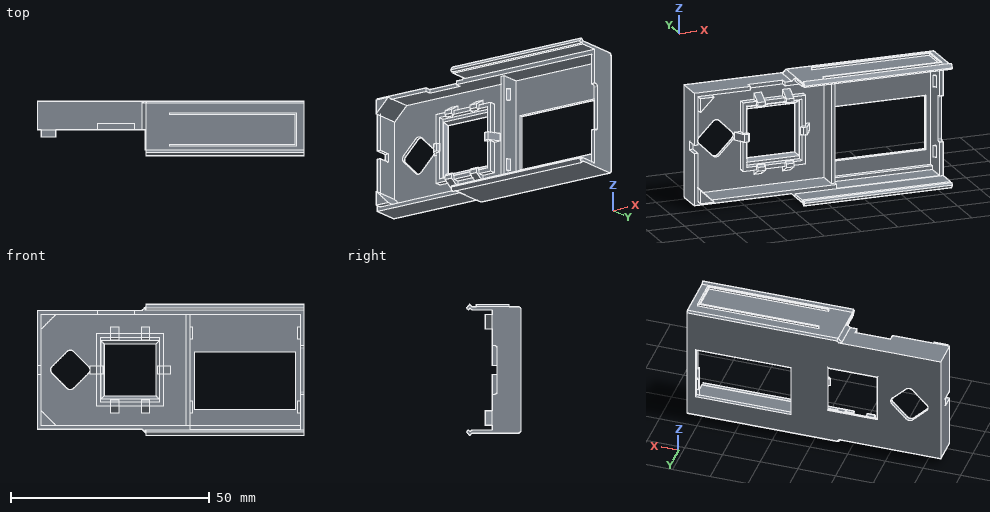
import cadquery as cq


LENGTH = 67.4
BODY_HALF = 15.0
WALL = 1.0
INNER_HALF = BODY_HALF - WALL
PLATE = 1.0
BODY_DEPTH = 7.3
INNER_END = LENGTH - WALL

DIVIDER_X = 37.55
DIVIDER_DEPTH = 6.1
COMPARTMENT_X = DIVIDER_X + WALL
LEDGE_DEPTH = 2.2

FLANGE_HALF = 16.0
FLANGE_X = 27.4
FLANGE_RUN = FLANGE_HALF - BODY_HALF
FLANGE_CHAMFER = 0.5
RAIL_HALF = 15.12
RAIL_X = 27.2
BEAD_HALF = 16.6
TOTAL_DEPTH = 13.82
BEAD_START = 12.4
BEAD_PEAK = BEAD_START + BEAD_HALF - FLANGE_HALF
BEAD_TIP_HALF = 15.62
BEAD_TOE = TOTAL_DEPTH - (BEAD_TIP_HALF - RAIL_HALF)
BEAD_GROOVE = 0.45

WINDOW_X = (39.75, 65.15)
WINDOW_Z = (-9.95, 4.5)

DIAMOND_X = 8.35
DIAMOND_SIDE = 7.7
DIAMOND_RADIUS = 1.2

FRAME_X = 23.45
FRAME_RIM = 1.0
FRAME_SIZE = (16.9, 18.3)
FRAME_DEPTH = 2.7
CAVITY_SIZE = (FRAME_SIZE[0] - 2 * FRAME_RIM, FRAME_SIZE[1] - 2 * FRAME_RIM)
OPENING = 13.05
OPENING_BEVEL = 0.85

CLIP_WIDTH = 2.05
CLIP_DEPTH = 3.8
CLIP_FOOT = 1.7
CLIP_NOSE = (CLIP_DEPTH - FRAME_DEPTH) / 2
CLIP_SPACING = 7.75

POST_LEG = 3.7
POST_DEPTH = 9.1

LEFT_NOTCH_HEIGHT = 2.2
LEFT_NOTCH_FLOOR = 3.8
TOP_NOTCH_X = (15.2, 24.55)
TOP_NOTCH_FLOOR = 5.65
RIGHT_NOTCH_HEIGHT = 12.3
RIGHT_NOTCH_FLOOR = 6.1
RIGHT_NOTCH_RADIUS = 0.6

CATCH_HEIGHT = 3.05
CATCH_Z = 9.35
CATCH_REACH = 0.7
CATCH_DEPTH = 4.4

BORDER_X = (33.4, 65.5)
BORDER_DEPTHS = (3.05, 11.35)
BORDER_WIDTH = 0.4
BORDER_TOP = 16.55


def box(x_range, depth_range, z_range):
    """Block between two X values, two depths and two Z values."""
    x0, x1 = x_range
    d0, d1 = depth_range
    z0, z1 = z_range
    return cq.Workplane("XY").box(x1 - x0, d1 - d0, z1 - z0, centered=False).translate((x0, -d1, z0))


def front_plane(depth):
    """Sketch plane at a given depth, with its normal pointing towards -Y."""
    return cq.Workplane("XZ").workplane(offset=depth)


def mirrored_in_z(solid):
    return solid.union(solid.mirror("XY"))


def body_shell():
    shell = box((0, LENGTH), (0, BODY_DEPTH), (-BODY_HALF, BODY_HALF))
    inside = box((WALL, INNER_END), (PLATE, BODY_DEPTH), (-INNER_HALF, INNER_HALF))
    divider = box((DIVIDER_X, COMPARTMENT_X), (0, DIVIDER_DEPTH), (-INNER_HALF, INNER_HALF))
    return shell.cut(inside).union(divider)


def upper_flange():
    """Thickening of the long wall with a 45 degree shoulder and a bevelled back edge."""
    flange = front_plane(0).polyline([
        (FLANGE_X - FLANGE_RUN, BODY_HALF),
        (FLANGE_X, FLANGE_HALF),
        (LENGTH, FLANGE_HALF),
        (LENGTH, BODY_HALF),
    ]).close().extrude(BODY_DEPTH)
    shoulder_and_top = cq.selectors.BoxSelector(
        (FLANGE_X - FLANGE_RUN, -WALL / 2, BODY_HALF + FLANGE_RUN / 4),
        (LENGTH - WALL, WALL / 2, FLANGE_HALF + WALL),
    )
    return flange.edges(shoulder_and_top).chamfer(FLANGE_CHAMFER)


def upper_rail():
    """Thin rail carrying on from the flange, ending in a folded bead."""
    web = front_plane(BODY_DEPTH).polyline([
        (RAIL_X, RAIL_HALF),
        (RAIL_X, FLANGE_HALF - (FLANGE_X - RAIL_X)),
        (FLANGE_X, FLANGE_HALF),
        (LENGTH, FLANGE_HALF),
        (LENGTH, RAIL_HALF),
    ]).close().extrude(BEAD_START - BODY_DEPTH)
    groove_middle = BEAD_TOE - BEAD_GROOVE
    bead = cq.Workplane("YZ").workplane(offset=FLANGE_X).polyline([
        (-BEAD_START, RAIL_HALF),
        (-BEAD_START, FLANGE_HALF),
        (-BEAD_PEAK, BEAD_HALF),
        (-TOTAL_DEPTH, BEAD_TIP_HALF),
        (-BEAD_TOE, RAIL_HALF),
        (-groove_middle, RAIL_HALF + BEAD_GROOVE),
        (-(groove_middle - BEAD_GROOVE), RAIL_HALF),
    ]).close().extrude(LENGTH - FLANGE_X)
    return web.union(bead)


def border():
    """Raised three-sided border, open at its left end."""
    near, far = BORDER_DEPTHS
    heights = (FLANGE_HALF, BORDER_TOP)
    outer = box(BORDER_X, BORDER_DEPTHS, heights)
    inner = box(
        (BORDER_X[0], BORDER_X[1] - BORDER_WIDTH),
        (near + BORDER_WIDTH, far - BORDER_WIDTH),
        heights,
    )
    return outer.cut(inner)


def frame():
    return front_plane(0).center(FRAME_X, 0).rect(*FRAME_SIZE).extrude(FRAME_DEPTH)


def frame_opening():
    """Rectangular cavity in the frame and the bevelled square hole in the plate behind it."""
    cavity = front_plane(PLATE).center(FRAME_X, 0).rect(*CAVITY_SIZE).extrude(FRAME_DEPTH)
    hole = front_plane(0).center(FRAME_X, 0).rect(OPENING, OPENING).extrude(PLATE)
    wide = OPENING + 2 * OPENING_BEVEL
    bevel = (
        front_plane(PLATE).center(FRAME_X, 0).rect(wide, wide)
        .workplane(offset=-OPENING_BEVEL).rect(OPENING, OPENING).loft(ruled=True)
    )
    return cavity.union(hole).union(bevel)


def clip(half_size, angle, shift=0):
    """Snap clip over the frame rim, turned about the frame axis and shifted along its side."""
    inner = half_size - FRAME_RIM
    profile = [
        (half_size + CLIP_FOOT, -PLATE),
        (half_size, -CLIP_DEPTH),
        (inner, -CLIP_DEPTH),
        (inner - CLIP_NOSE, -CLIP_DEPTH + CLIP_NOSE),
        (inner, -FRAME_DEPTH),
        (inner, -PLATE),
    ]
    solid = cq.Workplane("XY").polyline(profile).close().extrude(CLIP_WIDTH / 2, both=True)
    solid = solid.translate((0, 0, shift))
    return solid.rotate((0, 0, 0), (0, 1, 0), angle).translate((FRAME_X, 0, 0))


def upper_post():
    """Triangular post in the corner between the left and upper walls."""
    return front_plane(PLATE).polyline([
        (WALL, INNER_HALF),
        (WALL + POST_LEG, INNER_HALF),
        (WALL, INNER_HALF - POST_LEG),
    ]).close().extrude(POST_DEPTH - PLATE)


def catch(wall_x, direction, middle_z):
    """Wedge standing out of a wall; direction is +1 or -1 along X."""
    profile = [
        (wall_x, -CATCH_DEPTH),
        (wall_x + direction * CATCH_REACH, -CATCH_DEPTH),
        (wall_x, -CATCH_DEPTH - CATCH_REACH),
    ]
    solid = cq.Workplane("XY").polyline(profile).close().extrude(CATCH_HEIGHT / 2, both=True)
    return solid.translate((0, 0, middle_z))


def diamond_hole():
    diamond = cq.Workplane("XZ").rect(DIAMOND_SIDE, DIAMOND_SIDE).extrude(PLATE)
    diamond = diamond.edges("|Y").fillet(DIAMOND_RADIUS)
    return diamond.rotate((0, 0, 0), (0, 1, 0), 45).translate((DIAMOND_X, 0, 0))


def right_notch():
    half = RIGHT_NOTCH_HEIGHT / 2
    notch = box((INNER_END, LENGTH), (RIGHT_NOTCH_FLOOR, BODY_DEPTH), (-half, half))
    return notch.edges("|X and >Y").fillet(RIGHT_NOTCH_RADIUS)


result = body_shell()
result = result.union(mirrored_in_z(upper_flange()))
result = result.union(mirrored_in_z(upper_rail()))
result = result.union(border())
result = result.union(frame())
result = result.cut(frame_opening())

for side_angle in (0, 180):
    result = result.union(clip(FRAME_SIZE[0] / 2, side_angle))
for side_angle in (90, 270):
    for side_shift in (-CLIP_SPACING / 2, CLIP_SPACING / 2):
        result = result.union(clip(FRAME_SIZE[1] / 2, side_angle, side_shift))

result = result.union(mirrored_in_z(upper_post()))
for catch_z in (-CATCH_Z, CATCH_Z):
    result = result.union(catch(COMPARTMENT_X, 1, catch_z))
    result = result.union(catch(INNER_END, -1, catch_z))

result = result.cut(box(WINDOW_X, (0, PLATE), WINDOW_Z))
result = result.cut(diamond_hole())
left_notch_half = LEFT_NOTCH_HEIGHT / 2
result = result.cut(box((0, WALL), (LEFT_NOTCH_FLOOR, BODY_DEPTH), (-left_notch_half, left_notch_half)))
result = result.cut(box(TOP_NOTCH_X, (TOP_NOTCH_FLOOR, BODY_DEPTH), (INNER_HALF, BODY_HALF)))
result = result.cut(right_notch())

result = result.cut(box((COMPARTMENT_X, INNER_END), (LEDGE_DEPTH, BODY_DEPTH), (-BODY_HALF, -INNER_HALF)))